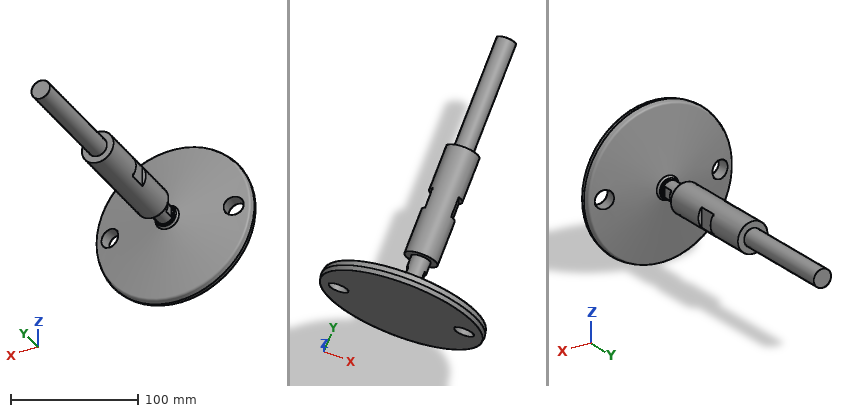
import cadquery as cq
import math

TOTAL_LENGTH = 238.0

FOOT_DIAMETER = 138.0
RIM_DRAFT = 0.7
PARTING_LEVEL = 4.0
RIM_TOP_LEVEL = 7.4
RIM_ROUNDING = 2.1
CONE_ANGLE = math.radians(10)
CONE_TOP_RADIUS = 10.5
NECK_RADIUS = 9.0
NECK_TOP_LEVEL = 21.7
FLARE_SAG = 0.2
SOCKET_FLOOR_LEVEL = 12.0

HOLE_DIAMETER = 16.5
HOLE_OFFSET = 52.5
HOLE_CUT_LENGTH = 47.5

SPINDLE_DIAMETER = 16.5
SPINDLE_NECK_DIAMETER = 15.2
SPINDLE_SHOULDER_LEVEL = 23.0
SPINDLE_FLATS_WIDTH = 13.5
SPINDLE_FLATS_START = 25.2
SPINDLE_FLATS_END = 34.5

SLEEVE_DIAMETER = 28.0
SLEEVE_START = 44.7
SLEEVE_END = 139.5
SLEEVE_FLATS_WIDTH = 22.0
SLEEVE_FLATS_LENGTH = 17.1


def cylinder(diameter, start, end):
    """Cylinder on the Y axis between two levels."""
    return (
        cq.Workplane("XZ", origin=(0, start, 0))
        .circle(diameter / 2)
        .extrude(start - end)
    )


def cut_flats(body, diameter, width, start, end):
    """Cut two flats, facing -X and +X, that leave the given width between them."""
    depth = (diameter - width) / 2
    for side in (-1, 1):
        cutter = cq.Workplane("XY").box(2 * depth, end - start, diameter)
        body = body.cut(cutter.translate((side * (width / 2 + depth), (start + end) / 2, 0)))
    return body


def make_foot():
    """Conical foot with a rounded, drafted rim, a spindle socket and two tilted holes."""
    rim_radius = FOOT_DIAMETER / 2 - RIM_DRAFT
    rounding_centre_radius = rim_radius - RIM_ROUNDING

    def rounding_point(angle):
        """Point on the rim rounding, with the angle measured from the radial direction."""
        return (
            rounding_centre_radius + RIM_ROUNDING * math.cos(angle),
            RIM_TOP_LEVEL + RIM_ROUNDING * math.sin(angle),
        )

    rounding_sweep = math.pi / 2 - CONE_ANGLE
    shoulder = rounding_point(rounding_sweep)
    cone_top_level = shoulder[1] + (shoulder[0] - CONE_TOP_RADIUS) * math.tan(CONE_ANGLE)
    flare_mid = (
        (CONE_TOP_RADIUS + NECK_RADIUS) / 2 - FLARE_SAG,
        (cone_top_level + NECK_TOP_LEVEL) / 2 - FLARE_SAG,
    )
    foot = (
        cq.Workplane("XY")
        .lineTo(rim_radius, 0)
        .lineTo(FOOT_DIAMETER / 2, PARTING_LEVEL)
        .lineTo(rim_radius, RIM_TOP_LEVEL)
        .threePointArc(rounding_point(rounding_sweep / 2), shoulder)
        .lineTo(CONE_TOP_RADIUS, cone_top_level)
        .threePointArc(flare_mid, (NECK_RADIUS, NECK_TOP_LEVEL))
        .lineTo(0, NECK_TOP_LEVEL)
        .close()
        .revolve(360, (0, 0, 0), (0, 1, 0))
    )
    foot = foot.cut(cylinder(SPINDLE_NECK_DIAMETER, SOCKET_FLOOR_LEVEL, NECK_TOP_LEVEL))

    for side in (-1, 1):
        direction = cq.Vector(side * math.sin(CONE_ANGLE), math.cos(CONE_ANGLE), 0)
        underside_centre = cq.Vector(side * HOLE_OFFSET, 0, 0)
        start = underside_centre - direction * (HOLE_CUT_LENGTH / 2)
        hole = cq.Solid.makeCylinder(HOLE_DIAMETER / 2, HOLE_CUT_LENGTH, start, direction)
        foot = foot.cut(cq.Workplane(hole))
    return foot


def make_spindle():
    """Round spindle with a reduced lower end seated in the foot and two wrench flats."""
    neck = cylinder(SPINDLE_NECK_DIAMETER, SOCKET_FLOOR_LEVEL, SPINDLE_SHOULDER_LEVEL)
    rod = cylinder(SPINDLE_DIAMETER, SPINDLE_SHOULDER_LEVEL, TOTAL_LENGTH)
    return cut_flats(
        neck.union(rod),
        SPINDLE_DIAMETER,
        SPINDLE_FLATS_WIDTH,
        SPINDLE_FLATS_START,
        SPINDLE_FLATS_END,
    )


def make_sleeve():
    """Sleeve around the spindle with two wrench flats at mid-length."""
    middle = (SLEEVE_START + SLEEVE_END) / 2
    sleeve = cylinder(SLEEVE_DIAMETER, SLEEVE_START, SLEEVE_END)
    sleeve = sleeve.cut(cylinder(SPINDLE_DIAMETER, SLEEVE_START, SLEEVE_END))
    return cut_flats(
        sleeve,
        SLEEVE_DIAMETER,
        SLEEVE_FLATS_WIDTH,
        middle - SLEEVE_FLATS_LENGTH / 2,
        middle + SLEEVE_FLATS_LENGTH / 2,
    )


foot = make_foot()
spindle = make_spindle()
sleeve = make_sleeve()

result = cq.Compound.makeCompound([foot.val(), spindle.val(), sleeve.val()])